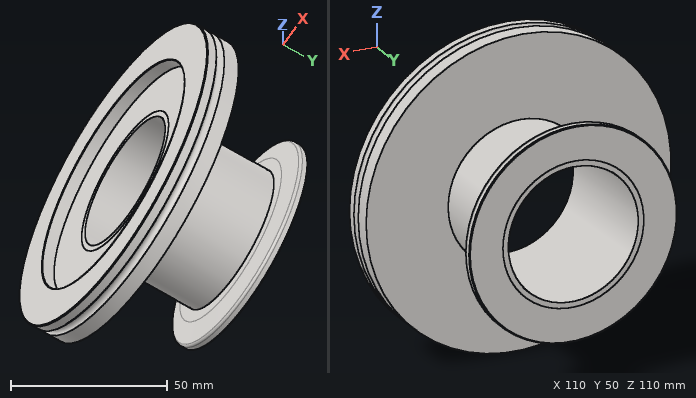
import cadquery as cq
import math

OVERALL_LENGTH = 50.0
FRONT_Y = -OVERALL_LENGTH / 2
BACK_Y = OVERALL_LENGTH / 2

TUBE_RADIUS = 50.8 / 2
TUBE_WALL = 2.0
BORE_RADIUS = TUBE_RADIUS - TUBE_WALL

LARGE_RADIUS = 110.0 / 2
LARGE_THICKNESS = 12.0
LARGE_EDGE_CHAMFER = 0.3
RECESS_RADIUS = 83.0 / 2
RECESS_DEPTH = 4.6
RECESS_EDGE_CHAMFER = 0.2
GROOVE_CENTRE = 5.0
GROOVE_RADIUS = 1.5

SMALL_RADIUS = 75.0 / 2
SMALL_THICKNESS = 5.1
RIM_THICKNESS = 3.0
CONE_ANGLE = 15.0
CONE_EDGE_FILLET = 1.0
SMALL_EDGE_CHAMFER = 0.3


def revolve_about_y(profile):
    """Turn a closed profile, given as (radius, y), once around the Y axis."""
    return profile.close().revolve(360, (0, 0, 0), (0, 1, 0))


def make_large_flange():
    """Disc with a front recess and a half-round groove in its rim."""
    back = FRONT_Y + LARGE_THICKNESS
    recess_floor = FRONT_Y + RECESS_DEPTH
    groove_y = FRONT_Y + GROOVE_CENTRE
    profile = (
        cq.Workplane("XY")
        .moveTo(TUBE_RADIUS, back)
        .lineTo(TUBE_RADIUS, recess_floor)
        .lineTo(RECESS_RADIUS, recess_floor)
        .lineTo(RECESS_RADIUS, FRONT_Y + RECESS_EDGE_CHAMFER)
        .lineTo(RECESS_RADIUS + RECESS_EDGE_CHAMFER, FRONT_Y)
        .lineTo(LARGE_RADIUS - LARGE_EDGE_CHAMFER, FRONT_Y)
        .lineTo(LARGE_RADIUS, FRONT_Y + LARGE_EDGE_CHAMFER)
        .lineTo(LARGE_RADIUS, groove_y - GROOVE_RADIUS)
        .threePointArc(
            (LARGE_RADIUS - GROOVE_RADIUS, groove_y),
            (LARGE_RADIUS, groove_y + GROOVE_RADIUS),
        )
        .lineTo(LARGE_RADIUS, back)
    )
    return revolve_about_y(profile)


def make_tube():
    """Plain tube from the recess floor to the small flange face."""
    start = FRONT_Y + RECESS_DEPTH
    profile = (
        cq.Workplane("XY")
        .moveTo(BORE_RADIUS, start)
        .lineTo(TUBE_RADIUS, start)
        .lineTo(TUBE_RADIUS, BACK_Y)
        .lineTo(BORE_RADIUS, BACK_Y)
    )
    return revolve_about_y(profile)


def make_small_flange():
    """Clamp flange whose tube side is a shallow cone, blended into the rim."""
    foot_y = BACK_Y - SMALL_THICKNESS
    angle = math.radians(CONE_ANGLE)
    fillet_centre_radius = SMALL_RADIUS - CONE_EDGE_FILLET
    foot_radius = SMALL_RADIUS - (SMALL_THICKNESS - RIM_THICKNESS) / math.tan(angle)
    cone_end_radius = fillet_centre_radius + CONE_EDGE_FILLET * math.sin(angle)
    cone_end_y = foot_y + (cone_end_radius - foot_radius) * math.tan(angle)
    fillet_centre_y = cone_end_y + CONE_EDGE_FILLET * math.cos(angle)
    middle_angle = (math.pi / 2 - angle) / 2
    profile = (
        cq.Workplane("XY")
        .moveTo(TUBE_RADIUS, foot_y)
        .lineTo(foot_radius, foot_y)
        .lineTo(cone_end_radius, cone_end_y)
        .threePointArc(
            (
                fillet_centre_radius + CONE_EDGE_FILLET * math.cos(middle_angle),
                fillet_centre_y - CONE_EDGE_FILLET * math.sin(middle_angle),
            ),
            (SMALL_RADIUS, fillet_centre_y),
        )
        .lineTo(SMALL_RADIUS, BACK_Y - SMALL_EDGE_CHAMFER)
        .lineTo(SMALL_RADIUS - SMALL_EDGE_CHAMFER, BACK_Y)
        .lineTo(TUBE_RADIUS, BACK_Y)
    )
    return revolve_about_y(profile)


large_flange = make_large_flange()
tube = make_tube()
small_flange = make_small_flange()

result = cq.Compound.makeCompound([large_flange.val(), tube.val(), small_flange.val()])